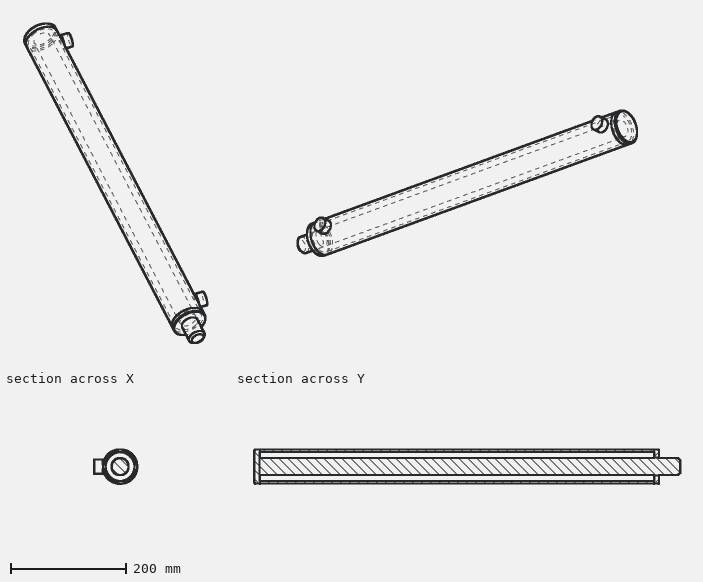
import cadquery as cq

body_diameter = 60.0
body_length = 703.0
overall_length = 740.0
wall_thickness = 5.0
bore_diameter = body_diameter - 2 * wall_thickness

cap_length = 10.0
cap_chamfer = 2.0
gland_length = 8.5
gland_chamfer = 1.0
tube_start = cap_length
tube_end = body_length - gland_length

rod_diameter = 30.0
rod_chamfer = 4.0

port_diameter = 25.0
port_height = 15.0
port_base = body_diameter / 2
port_positions = (30.0, 660.0)


def cylinder_along_x(diameter, start, end):
    """Solid cylinder on the X axis between two X positions."""
    return cq.Workplane("YZ", origin=(start, 0, 0)).circle(diameter / 2).extrude(end - start)


def make_tube():
    """Open tube between the end cap and the gland."""
    outside = cylinder_along_x(body_diameter, tube_start, tube_end)
    return outside.cut(cylinder_along_x(bore_diameter, tube_start, tube_end))


def make_end_cap():
    """Rear disc with a chamfered outer rim."""
    return cylinder_along_x(body_diameter, 0, tube_start).faces("<X").chamfer(cap_chamfer)


def make_gland():
    """Front ring that guides the rod, with a chamfered outer rim."""
    disc = cylinder_along_x(body_diameter, tube_end, body_length).faces(">X").chamfer(gland_chamfer)
    return disc.cut(cylinder_along_x(rod_diameter, tube_end, body_length))


def make_rod():
    """Rod from the end cap out through the gland, with a chamfered tip."""
    rod = cylinder_along_x(rod_diameter, tube_start, overall_length)
    return rod.faces(">X").chamfer(rod_chamfer)


def make_port(position):
    """Round boss that stands on the tube's +Y side and points along +Y."""
    base = cq.Workplane("XZ", origin=(position, port_base, 0))
    return base.circle(port_diameter / 2).extrude(-port_height)


tube = make_tube()
end_cap = make_end_cap()
gland = make_gland()
rod = make_rod()
ports = [make_port(position) for position in port_positions]

result = cq.Compound.makeCompound(
    [tube.val(), end_cap.val(), gland.val(), rod.val()] + [port.val() for port in ports]
)